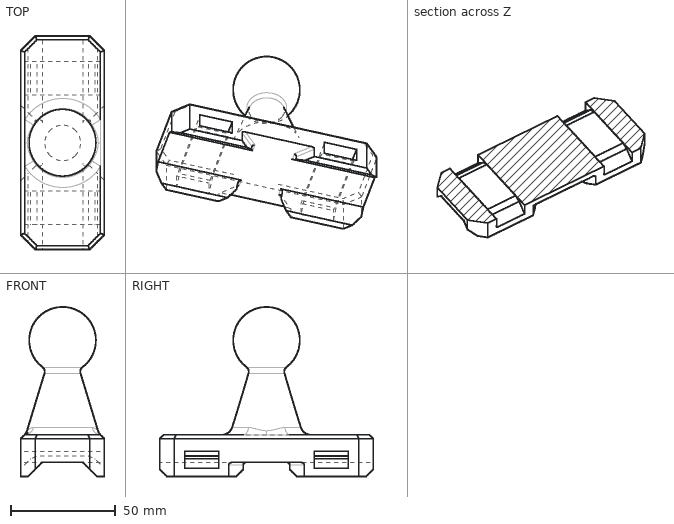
import cadquery as cq

plate_width = 40.0
plate_length = 102.0
plate_height = 20.0
corner_cut = 7.0
top_chamfer = 1.9

channel_depth = 6.8
channel_bottom_width = 33.0
channel_top_width = channel_bottom_width - 2 * channel_depth

gap_width = 22.0
gap_root_fillet = 1.2

strap_width = 16.0
strap_offset = 30.9
strap_bottom = 4.0
strap_top = 12.0
strap_ramp_height = 4.6
strap_crest = 9.9
crest_half_width = 12.3

overall_height = 81.03
ball_radius = 16.0
ball_center_height = overall_height - ball_radius
neck_radius = 8.0
neck_height = 51.45
cone_base_radius = 17.55
root_fillet = 5.0
neck_fillet = 2.5


def make_plate():
    plate = cq.Workplane("XY").box(
        plate_width, plate_length, plate_height, centered=(True, True, False)
    )
    plate = plate.edges("|Z").chamfer(corner_cut)
    return plate.faces(">Z").edges().chamfer(top_chamfer)


def make_stud():
    stem = (
        cq.Workplane("XZ")
        .moveTo(0, plate_height)
        .lineTo(cone_base_radius, plate_height)
        .lineTo(neck_radius, neck_height)
        .lineTo(0, neck_height)
        .close()
        .revolve(360, (0, 0, 0), (0, 1, 0))
    )
    ball = cq.Workplane("XY").sphere(ball_radius).translate((0, 0, ball_center_height))
    return stem.union(ball)


def stud_circles(body, bottom, top):
    """Circular edges of the stud between two heights."""
    reach = cone_base_radius
    band = cq.selectors.BoxSelector((-reach, -reach, bottom), (reach, reach, top))
    return body.edges(band).edges("%CIRCLE")


def round_stud_joints(body):
    half_cone = (plate_height + neck_height) / 2
    body = stud_circles(body, 0, half_cone).fillet(root_fillet)
    return stud_circles(body, half_cone, ball_center_height).fillet(neck_fillet)


def make_channel():
    bottom_half = channel_bottom_width / 2
    top_half = channel_top_width / 2
    return (
        cq.Workplane("XZ")
        .polyline(
            [
                (-bottom_half, 0),
                (-top_half, channel_depth),
                (top_half, channel_depth),
                (bottom_half, 0),
            ]
        )
        .close()
        .extrude(plate_length / 2, both=True)
    )


def make_gap():
    inner_x = plate_width / 2 - corner_cut
    outer_x = plate_width / 2
    inner_y = gap_width / 2
    outer_y = inner_y + corner_cut
    gap = (
        cq.Workplane("XY")
        .polyline(
            [
                (-outer_x, -outer_y),
                (-inner_x, -inner_y),
                (inner_x, -inner_y),
                (outer_x, -outer_y),
                (outer_x, outer_y),
                (inner_x, inner_y),
                (-inner_x, inner_y),
                (-outer_x, outer_y),
            ]
        )
        .close()
        .extrude(channel_depth)
    )
    return gap.faces(">Z").edges("not(<X or >X)").fillet(gap_root_fillet)


def make_strap_passage(center_y):
    mouth_x = plate_width / 2
    ramp_top = strap_bottom + strap_ramp_height
    ramp_x = mouth_x - strap_ramp_height
    return (
        cq.Workplane("XZ", origin=(0, center_y, 0))
        .polyline(
            [
                (-mouth_x, strap_top),
                (-mouth_x, strap_bottom),
                (-ramp_x, ramp_top),
                (-crest_half_width, strap_crest),
                (crest_half_width, strap_crest),
                (ramp_x, ramp_top),
                (mouth_x, strap_bottom),
                (mouth_x, strap_top),
            ]
        )
        .close()
        .extrude(strap_width / 2, both=True)
    )


result = round_stud_joints(make_plate().union(make_stud()))
result = result.cut(make_channel()).cut(make_gap())
for side in (-1, 1):
    result = result.cut(make_strap_passage(side * strap_offset))